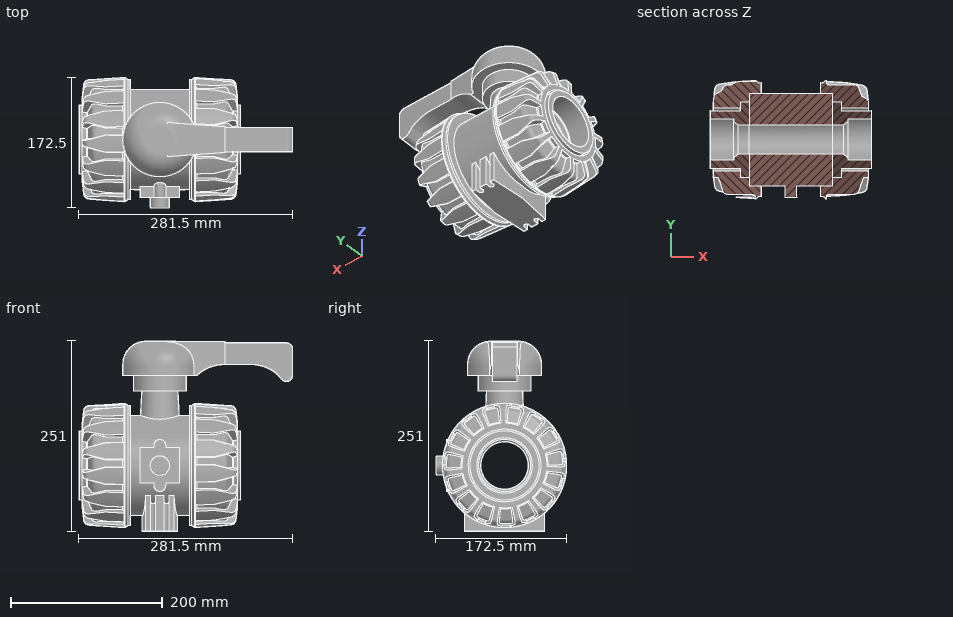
import cadquery as cq
import math


BODY_RADIUS = 66.2
BORE_RADIUS = 31.2
BODY_HALF_LENGTH = 55.0
NECK_TOP_Z = 98.2
NECK_TOP_RADIUS = 24.0
NECK_BASE_Z = 55.0
NECK_BASE_RADIUS = 26.2
COLLAR_RADIUS = 35.0

FOOT_BOTTOM_Z = -87.0
FOOT_HALF_DEPTH = 53.0
FOOT_END_HALF_WIDTH = 18.7
FOOT_MIDDLE_HALF_WIDTH = 23.6
SLOT_WIDTH = 6.8
SLOT_OFFSET = 8.9
SLOT_DEPTH = 9.9

PAD_FACE_Y = -76.7
PAD_WIDTH = 52.0
PAD_HEIGHT = 46.8
PAD_TAB_RADIUS = 7.8
PAD_TAB_CENTRE_Z = 26.5
BUTTON_RADIUS = 12.7
BUTTON_FACE_Y = -90.47
BUTTON_EDGE_RADIUS = 2.0

CONNECTOR_FACE_X = 106.46
CONNECTOR_RADIUS = 45.6
SOCKET_RADIUS = 36.6
SOCKET_DEPTH = 31.0
BORE_MOUTH_RADIUS = 34.3
BORE_TAPER_LENGTH = 6.0
FLANGE_RADIUS = 56.0
FLANGE_THICKNESS = 12.0

NUT_INNER_X = 39.0
NUT_FACE_X = 102.5
NUT_FACE_RADIUS = 56.0
NUT_MOUTH_RADIUS = 48.0
NUT_LIP_RADIUS = 79.2
NUT_LIP_X = 42.0
NUT_MAX_RADIUS = 82.0
BAND_CHAMFER_X = 46.0
BAND_OUTER_X = 47.2
GROOVE_RADIUS = 76.7
GROOVE_STEP = 2.0
GROOVE_CORNER_X = 83.3
GROOVE_END_SLOPE = math.radians(65)
GROOVE_CORNER_RADIUS = 7.5
HUB_RADIUS = 57.3
HUB_CHAMFER_X = 95.6
HUB_STEP_X = 96.9
RIB_COUNT = 15
RIB_END_X = 100.7
RIB_TIP_RADIUS = 79.0
RIB_CORNER_RADIUS = 7.8
RIB_HALF_WIDTH = 11.3
RIB_SHOULDER_X = 72.0
RIB_END_HALF_WIDTH = 3.2
LEFT_NUT_PHASE = 4.0
RIGHT_NUT_PHASE = 1.6

HANDLE_TOP_Z = 164.0
CAP_RADIUS = 49.0
CAP_BASE_Z = 118.6
CAP_ROUND_RADIUS = 31.0
ARM_TOP_Z = 163.5
ARM_START_X = 10.0
ARM_START_HALF_WIDTH = 22.5
ARM_END_X = 85.8
ARM_END_HALF_WIDTH = 17.0
ARM_UNDERSIDE_Z = 133.0
ARM_FOOT_X = 48.8
ARM_CURVE_MIDDLE = (66.0, 129.5)
GRIP_TOP_Z = 162.0
GRIP_HALF_WIDTH = 16.2
GRIP_END_X = 175.0
GRIP_CORNER_START = (167.0, GRIP_TOP_Z)
GRIP_CORNER_MIDDLE = (171.5, 160.3)
GRIP_CORNER_END_Z = 156.5
GRIP_CURVE_START_X = 118.5
GRIP_CURVE_MIDDLE = (138.5, 129.8)
GRIP_CURVE_END = (153.0, 121.8)
GRIP_TIP_START = (161.5, 112.7)
GRIP_TIP_LOWEST = (166.0, 110.7)
GRIP_TIP_END_Z = 118.1


def cylinder_x(radius, start, end):
    """Cylinder on the pipe axis between two X positions."""
    return cq.Workplane("YZ").workplane(offset=start).circle(radius).extrude(end - start)


def cylinder_z(radius, bottom, top):
    """Cylinder on the stem axis between two heights."""
    return cq.Workplane("XY").workplane(offset=bottom).circle(radius).extrude(top - bottom)


def make_neck():
    """Tapered neck for the stem, starting inside the body, with a round collar on top."""
    taper = (
        cq.Workplane("XZ")
        .polyline([
            (0, NECK_BASE_Z), (NECK_BASE_RADIUS, NECK_BASE_Z),
            (NECK_TOP_RADIUS, NECK_TOP_Z), (0, NECK_TOP_Z),
        ])
        .close()
        .revolve(360, (0, 0, 0), (0, 1, 0))
    )
    return taper.union(cylinder_z(COLLAR_RADIUS, NECK_TOP_Z, CAP_BASE_Z))


def make_foot():
    """Six-sided foot, widest at the middle, with two round-ended slots in each end."""
    foot = (
        cq.Workplane("XY")
        .workplane(offset=FOOT_BOTTOM_Z)
        .polyline([
            (-FOOT_END_HALF_WIDTH, -FOOT_HALF_DEPTH), (FOOT_END_HALF_WIDTH, -FOOT_HALF_DEPTH),
            (FOOT_MIDDLE_HALF_WIDTH, 0),
            (FOOT_END_HALF_WIDTH, FOOT_HALF_DEPTH), (-FOOT_END_HALF_WIDTH, FOOT_HALF_DEPTH),
            (-FOOT_MIDDLE_HALF_WIDTH, 0),
        ])
        .close()
        .extrude(-FOOT_BOTTOM_Z)
    )
    for end in (-1, 1):
        slots = (
            cq.Workplane("XY")
            .workplane(offset=FOOT_BOTTOM_Z)
            .pushPoints([(side * SLOT_OFFSET, end * FOOT_HALF_DEPTH) for side in (-1, 1)])
            .slot2D(2 * SLOT_DEPTH, SLOT_WIDTH, 90)
            .extrude(-FOOT_BOTTOM_Z)
        )
        foot = foot.cut(slots)
    return foot


def make_pad():
    """Square pad with a rounded tab above and below and a round button on its face."""
    depth = -PAD_FACE_Y
    pad = cq.Workplane("XZ").rect(PAD_WIDTH, PAD_HEIGHT).extrude(depth)
    tabs = cq.Workplane("XZ").slot2D(2 * (PAD_TAB_CENTRE_Z + PAD_TAB_RADIUS), 2 * PAD_TAB_RADIUS, 90)
    button = (
        cq.Workplane("XZ")
        .circle(BUTTON_RADIUS)
        .extrude(-BUTTON_FACE_Y)
        .faces("<Y")
        .edges()
        .fillet(BUTTON_EDGE_RADIUS)
    )
    return pad.union(tabs.extrude(depth)).union(button)


def make_body():
    body = cylinder_x(BODY_RADIUS, -BODY_HALF_LENGTH, BODY_HALF_LENGTH)
    body = body.union(make_neck()).union(make_foot()).union(make_pad())
    return body.cut(cylinder_x(BORE_RADIUS, -BODY_HALF_LENGTH, BODY_HALF_LENGTH))


def make_connector():
    """Connector on the +X side: a socket tube with a flange against the end of the body."""
    tube = cylinder_x(CONNECTOR_RADIUS, BODY_HALF_LENGTH, CONNECTOR_FACE_X)
    flange = cylinder_x(FLANGE_RADIUS, BODY_HALF_LENGTH, BODY_HALF_LENGTH + FLANGE_THICKNESS)
    socket_end = CONNECTOR_FACE_X - SOCKET_DEPTH
    bore = (
        cq.Workplane("XY")
        .polyline([
            (BODY_HALF_LENGTH, 0), (BODY_HALF_LENGTH, BORE_RADIUS),
            (socket_end - BORE_TAPER_LENGTH, BORE_RADIUS), (socket_end, BORE_MOUTH_RADIUS),
            (socket_end, SOCKET_RADIUS), (CONNECTOR_FACE_X, SOCKET_RADIUS),
            (CONNECTOR_FACE_X, 0),
        ])
        .close()
        .revolve(360, (0, 0, 0), (1, 0, 0))
    )
    return tube.union(flange).cut(bore)


def nut_core():
    """Turned core of the nut: lip, smooth band, groove floor with a rounded corner, end hub."""

    def corner_point(angle):
        """Point on the rounded corner, the angle measured from the end of the groove floor."""
        x = GROOVE_CORNER_X + GROOVE_CORNER_RADIUS * math.sin(angle)
        radius = GROOVE_RADIUS - GROOVE_CORNER_RADIUS * (1 - math.cos(angle))
        return x, radius

    return (
        cq.Workplane("XY")
        .moveTo(NUT_INNER_X, 0)
        .lineTo(NUT_INNER_X, NUT_LIP_RADIUS)
        .lineTo(NUT_LIP_X, NUT_LIP_RADIUS)
        .lineTo(BAND_CHAMFER_X, NUT_MAX_RADIUS)
        .lineTo(BAND_OUTER_X, NUT_MAX_RADIUS)
        .lineTo(BAND_OUTER_X, GROOVE_RADIUS + GROOVE_STEP)
        .lineTo(BAND_OUTER_X + GROOVE_STEP, GROOVE_RADIUS)
        .lineTo(GROOVE_CORNER_X, GROOVE_RADIUS)
        .threePointArc(corner_point(GROOVE_END_SLOPE / 2), corner_point(GROOVE_END_SLOPE))
        .lineTo(HUB_CHAMFER_X, HUB_RADIUS)
        .lineTo(HUB_STEP_X, NUT_FACE_RADIUS)
        .lineTo(NUT_FACE_X, NUT_FACE_RADIUS)
        .lineTo(NUT_FACE_X, 0)
        .close()
        .revolve(360, (0, 0, 0), (1, 0, 0))
    )


def rib_envelope():
    """Turned shape that bounds the ribs, slightly conical with a rounded outer corner."""
    corner_mid = RIB_CORNER_RADIUS * (1 - math.sqrt(0.5))
    return (
        cq.Workplane("XY")
        .moveTo(BAND_CHAMFER_X, 0)
        .lineTo(BAND_CHAMFER_X, NUT_MAX_RADIUS)
        .lineTo(RIB_END_X - RIB_CORNER_RADIUS, RIB_TIP_RADIUS)
        .threePointArc(
            (RIB_END_X - corner_mid, RIB_TIP_RADIUS - corner_mid),
            (RIB_END_X, RIB_TIP_RADIUS - RIB_CORNER_RADIUS),
        )
        .lineTo(NUT_FACE_X, NUT_FACE_RADIUS)
        .lineTo(NUT_FACE_X, 0)
        .close()
        .revolve(360, (0, 0, 0), (1, 0, 0))
    )


def rib_blank():
    """Rib plan, wide beside the band and narrow towards the nut face, raised along +Z."""
    return (
        cq.Workplane("XY")
        .polyline([
            (BAND_CHAMFER_X, -RIB_HALF_WIDTH), (RIB_SHOULDER_X, -RIB_HALF_WIDTH),
            (NUT_FACE_X, -RIB_END_HALF_WIDTH), (NUT_FACE_X, RIB_END_HALF_WIDTH),
            (RIB_SHOULDER_X, RIB_HALF_WIDTH), (BAND_CHAMFER_X, RIB_HALF_WIDTH),
        ])
        .close()
        .extrude(NUT_MAX_RADIUS)
    )


def make_nut():
    """Nut on the +X side, its first rib pointing along +Z."""
    nut = nut_core()
    rib = rib_blank().intersect(rib_envelope())
    for index in range(RIB_COUNT):
        nut = nut.union(rib.rotate((0, 0, 0), (1, 0, 0), index * 360 / RIB_COUNT))
    flange_end = BODY_HALF_LENGTH + FLANGE_THICKNESS
    nut = nut.cut(cylinder_x(BODY_RADIUS, NUT_INNER_X, BODY_HALF_LENGTH))
    nut = nut.cut(cylinder_x(FLANGE_RADIUS, BODY_HALF_LENGTH, flange_end))
    return nut.cut(cylinder_x(NUT_MOUTH_RADIUS, flange_end, NUT_FACE_X))


def make_cap():
    """Round cap over the collar, its rim rounded into a flat top."""
    return (
        cylinder_z(CAP_RADIUS, CAP_BASE_Z, HANDLE_TOP_Z)
        .faces(">Z")
        .edges()
        .fillet(CAP_ROUND_RADIUS)
    )


def make_arm():
    """Tapering arm from the cap to the grip, its underside arched."""
    side = (
        cq.Workplane("XZ")
        .moveTo(ARM_START_X, CAP_BASE_Z)
        .lineTo(ARM_FOOT_X, CAP_BASE_Z)
        .threePointArc(ARM_CURVE_MIDDLE, (ARM_END_X, ARM_UNDERSIDE_Z))
        .lineTo(ARM_END_X, ARM_TOP_Z)
        .lineTo(ARM_START_X, ARM_TOP_Z)
        .close()
        .extrude(ARM_START_HALF_WIDTH, both=True)
    )
    plan = (
        cq.Workplane("XY")
        .workplane(offset=CAP_BASE_Z)
        .polyline([
            (ARM_START_X, -ARM_START_HALF_WIDTH), (ARM_END_X, -ARM_END_HALF_WIDTH),
            (ARM_END_X, ARM_END_HALF_WIDTH), (ARM_START_X, ARM_START_HALF_WIDTH),
        ])
        .close()
        .extrude(HANDLE_TOP_Z - CAP_BASE_Z)
    )
    return side.intersect(plan)


def make_grip():
    """Straight grip with a downturned finger stop at its end."""
    return (
        cq.Workplane("XZ")
        .moveTo(ARM_END_X, ARM_UNDERSIDE_Z)
        .lineTo(GRIP_CURVE_START_X, ARM_UNDERSIDE_Z)
        .threePointArc(GRIP_CURVE_MIDDLE, GRIP_CURVE_END)
        .lineTo(*GRIP_TIP_START)
        .threePointArc(GRIP_TIP_LOWEST, (GRIP_END_X, GRIP_TIP_END_Z))
        .lineTo(GRIP_END_X, GRIP_CORNER_END_Z)
        .threePointArc(GRIP_CORNER_MIDDLE, GRIP_CORNER_START)
        .lineTo(ARM_END_X, GRIP_TOP_Z)
        .close()
        .extrude(GRIP_HALF_WIDTH, both=True)
    )


def make_handle():
    return make_cap().union(make_arm()).union(make_grip())


def place_left(solid):
    """Turn a part from the +X end round the stem axis to the -X end."""
    return solid.rotate((0, 0, 0), (0, 0, 1), 180)


def turn_nut(nut, angle):
    return nut.rotate((0, 0, 0), (1, 0, 0), angle)


body = make_body()
connectors = [place_left(make_connector()), make_connector()]
nuts = [turn_nut(place_left(make_nut()), LEFT_NUT_PHASE), turn_nut(make_nut(), RIGHT_NUT_PHASE)]
handle = make_handle()

result = cq.Compound.makeCompound([
    body.val(),
    *[connector.val() for connector in connectors],
    *[nut.val() for nut in nuts],
    handle.val(),
])